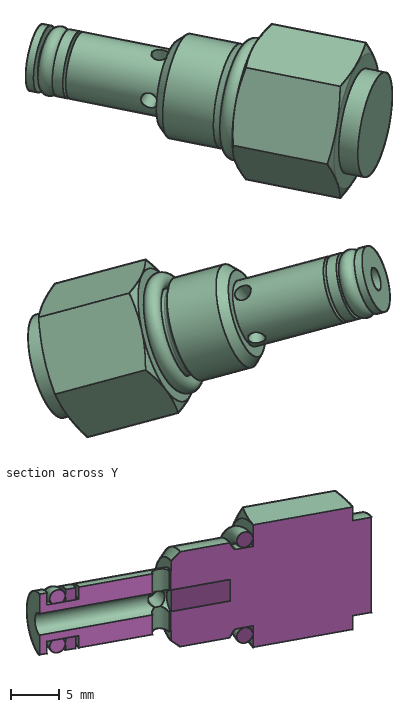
import cadquery as cq
import math


overall_length = 37.08
cage_length = 14.70
shank_length = 6.56
hex_start = 23.85
hex_length = 11.14

cage_diameter = 7.11
inlet_diameter = 2.43
nose_lip_length = 0.87
seal_groove_diameter = 4.32
seal_groove_width = 3.53
port_diameter = 1.83
port_x = 13.55
port_count = 4

shank_diameter = 11.1
neck_diameter = 9.3
neck_step = (shank_diameter - neck_diameter) / 2
lead_chamfer_length = 1.0
neck_fillet_radius = 0.4
neck_chamfer_length = neck_step * math.tan(math.radians(30))
shank_end = cage_length + shank_length
neck_start = shank_end + neck_chamfer_length
hex_end = hex_start + hex_length
hex_across_flats = 14.27
hex_across_corners = hex_across_flats / math.cos(math.radians(30))
hex_front_chamfer_length = 0.5
hex_rear_chamfer_length = 0.33
tail_diameter = 11.12

poppet_length = shank_length

nose_ring_section = 1.78
nose_ring_outer_diameter = 7.36
backup_ring_width = 1.16
backup_ring_start = 2.92
face_ring_section = 1.83


def cylinder(start_x, length, diameter):
    """Round bar along X."""
    return cq.Workplane("YZ", origin=(start_x, 0, 0)).circle(diameter / 2).extrude(length)


def revolve_about_x(profile):
    """Full turn of an XY profile about the X axis."""
    return profile.revolve(360, (0, 0, 0), (1, 0, 0))


def o_ring(center_x, outer_diameter, section):
    """Round-section ring about the X axis."""
    center_radius = (outer_diameter - section) / 2
    ring_center = cq.Vector(center_x, 0, 0)
    ring_axis = cq.Vector(1, 0, 0)
    return cq.Workplane(cq.Solid.makeTorus(center_radius, section / 2, ring_center, ring_axis))


def make_cage():
    cage = cylinder(0, cage_length, cage_diameter)
    groove_floor = cylinder(nose_lip_length, seal_groove_width, seal_groove_diameter)
    groove = cylinder(nose_lip_length, seal_groove_width, cage_diameter).cut(groove_floor)
    inlet = cylinder(0, cage_length, inlet_diameter)
    cage = cage.cut(groove).cut(inlet)
    port = cq.Workplane("XY", origin=(port_x, 0, 0)).circle(port_diameter / 2).extrude(cage_diameter / 2)
    for index in range(port_count):
        cage = cage.cut(port.rotate((0, 0, 0), (1, 0, 0), index * 360 / port_count))
    return cage


def make_hex():
    """Hexagon with flats facing +Z and -Z and its corners turned down at both ends."""
    flat_radius = hex_across_flats / 2
    corner_radius = hex_across_corners / 2
    prism = (
        cq.Workplane("YZ", origin=(hex_start, 0, 0))
        .polygon(6, hex_across_corners)
        .extrude(hex_length)
    )
    turned_envelope = revolve_about_x(
        cq.Workplane("XY")
        .moveTo(hex_start, 0)
        .lineTo(hex_start, flat_radius)
        .lineTo(hex_start + hex_front_chamfer_length, corner_radius)
        .lineTo(hex_end - hex_rear_chamfer_length, corner_radius)
        .lineTo(hex_end, flat_radius)
        .lineTo(hex_end, 0)
        .close()
    )
    return prism.intersect(turned_envelope)


def make_housing():
    shank = revolve_about_x(
        cq.Workplane("XY")
        .moveTo(cage_length, 0)
        .lineTo(cage_length, neck_diameter / 2)
        .lineTo(cage_length + lead_chamfer_length, shank_diameter / 2)
        .lineTo(shank_end, shank_diameter / 2)
        .lineTo(neck_start, neck_diameter / 2)
        .lineTo(hex_start, neck_diameter / 2)
        .lineTo(hex_start, 0)
        .close()
    )
    neck_corner = cq.selectors.NearestToPointSelector((neck_start, 0, 0))
    shank = shank.edges(neck_corner).fillet(neck_fillet_radius)
    tail = cylinder(hex_end, overall_length - hex_end, tail_diameter)
    poppet_recess = cylinder(cage_length, poppet_length, inlet_diameter)
    return shank.union(make_hex()).union(tail).cut(poppet_recess)


def make_poppet():
    return cylinder(cage_length, poppet_length, inlet_diameter)


def make_nose_ring():
    """O-ring against the backup ring, flattened inside where it sits on the groove floor."""
    center_x = backup_ring_start - nose_ring_section / 2
    crown_radius = nose_ring_outer_diameter / 2
    floor_radius = seal_groove_diameter / 2
    section_radius = nose_ring_section / 2
    floor_offset = crown_radius - section_radius - floor_radius
    flat_half_width = math.sqrt(section_radius**2 - floor_offset**2)
    return revolve_about_x(
        cq.Workplane("XY")
        .moveTo(center_x - flat_half_width, floor_radius)
        .threePointArc((center_x, crown_radius), (center_x + flat_half_width, floor_radius))
        .close()
    )


def make_backup_ring():
    ring = cylinder(backup_ring_start, backup_ring_width, cage_diameter)
    return ring.cut(cylinder(backup_ring_start, backup_ring_width, seal_groove_diameter))


def make_face_ring():
    """O-ring around the neck, against the front face of the hexagon."""
    center_x = hex_start - face_ring_section / 2
    return o_ring(center_x, neck_diameter + 2 * face_ring_section, face_ring_section)


cage = make_cage()
housing = make_housing()
poppet = make_poppet()
nose_ring = make_nose_ring()
backup_ring = make_backup_ring()
face_ring = make_face_ring()

result = cq.Compound.makeCompound([
    cage.val(),
    housing.val(),
    poppet.val(),
    nose_ring.val(),
    backup_ring.val(),
    face_ring.val(),
])